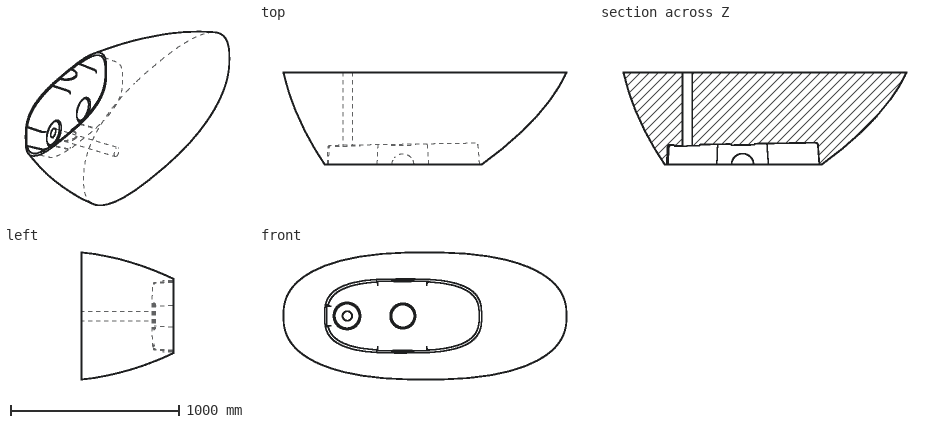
import cadquery as cq
import math


HEIGHT = 550.0
RIM_LENGTH = 1685.0
RIM_WIDTH = 758.0
RIM_ROUNDNESS = 2.4
BASE_LENGTH = 933.0
BASE_WIDTH = 441.0
BASE_ROUNDNESS = 2.9
BASE_CENTER_X = -130.0
END_BULGE = 0.5
SIDE_BULGE = 0.65
BODY_SECTIONS = 5
POINTS_PER_HALF = 24

WALL = 15.0
CAVITY_DEPTH = 123.0
FLOOR_TILT = 0.9
OVERRUN = 17.0
DRAFT = 7.0
FLOOR_FILLET = 13.0

SIDE_PANEL_X = -133.0
PANEL_INSET = 13.0
SIDE_PANEL_LENGTH = 307.0
END_PANEL_LENGTH = 131.0
PANEL_REACH = 50.0

RECESS_DIAMETER = 131.0
RECESS_DEPTH = 5.0

BOSS_HEIGHT = 7.0
BOSS_SLOPE_WIDTH = 8.0
CENTER_BOSS_RADIUS = 75.0
DRAIN_BOSS_RADIUS = 81.0
DRAIN_X = -462.0
DRAIN_HOLE_DIAMETER = 55.0


def superellipse(y, center_x, length, width, roundness):
    """Closed wire at height y, made of two half curves that meet at its -X and +X ends."""

    def point(angle):
        c = math.cos(angle)
        s = math.sin(angle)
        reach = (abs(c) ** roundness + abs(s) ** roundness) ** (-1 / roundness)
        return cq.Vector(center_x + reach * c * length / 2, y, reach * s * width / 2)

    def half(start):
        turns = [math.pi * i / POINTS_PER_HALF for i in range(POINTS_PER_HALF + 1)]
        points = [point(start + turn) for turn in turns]
        end_slope = cq.Vector(0, 0, math.cos(start) * width / 2)
        return cq.Edge.makeSpline(points, [end_slope, -end_slope], parameters=turns, scale=False)

    return cq.Wire.assembleEdges([half(0), half(math.pi)])


def blend(rim_value, base_value, t, bulge=0.0):
    """Value a fraction t of the way from rim to base, bowed toward the rim value."""
    return rim_value + (base_value - rim_value) * (t - bulge * t * (1 - t))


def body():
    sections = []
    for i in range(BODY_SECTIONS):
        t = i / (BODY_SECTIONS - 1)
        left = blend(-RIM_LENGTH / 2, BASE_CENTER_X - BASE_LENGTH / 2, t, END_BULGE)
        right = blend(RIM_LENGTH / 2, BASE_CENTER_X + BASE_LENGTH / 2, t, END_BULGE)
        width = blend(RIM_WIDTH, BASE_WIDTH, t, SIDE_BULGE)
        roundness = blend(RIM_ROUNDNESS, BASE_ROUNDNESS, t)
        y = HEIGHT * (1 - t)
        sections.append(superellipse(y, (left + right) / 2, right - left, width, roundness))
    return cq.Workplane(cq.Solid.makeLoft(sections))


def lean(y):
    """How far the hollow's drafted walls have moved inward at height y."""
    return DRAFT * y / CAVITY_DEPTH


def cavity():
    def section(y):
        inset = WALL + lean(y)
        return superellipse(
            y, BASE_CENTER_X, BASE_LENGTH - 2 * inset, BASE_WIDTH - 2 * inset, BASE_ROUNDNESS
        )

    block = cq.Workplane(cq.Solid.makeLoft([section(-OVERRUN), section(CAVITY_DEPTH)], True))
    return block.faces(">Y").edges().fillet(FLOOR_FILLET)


def panel(size_x, size_z, center_x, center_z, outer_edge):
    """Drafted block up to the hollow's floor, with its outer floor edge rounded.

    The sizes hold at Y = 0.
    """
    growth = -2 * lean(-OVERRUN)
    block = (
        cq.Workplane("XZ", origin=(center_x, -OVERRUN, center_z))
        .rect(size_x + growth, size_z + growth)
        .extrude(-(CAVITY_DEPTH + OVERRUN), taper=math.degrees(math.atan(DRAFT / CAVITY_DEPTH)))
    )
    return block.faces(">Y").edges(outer_edge).fillet(FLOOR_FILLET)


def panels():
    face_z = BASE_WIDTH / 2 - PANEL_INSET
    face_x = BASE_CENTER_X - BASE_LENGTH / 2 + PANEL_INSET
    mid_z = face_z - PANEL_REACH / 2
    upper = panel(SIDE_PANEL_LENGTH, PANEL_REACH, SIDE_PANEL_X, mid_z, ">Z")
    lower = panel(SIDE_PANEL_LENGTH, PANEL_REACH, SIDE_PANEL_X, -mid_z, "<Z")
    end = panel(PANEL_REACH, END_PANEL_LENGTH, face_x + PANEL_REACH / 2, 0, "<X")
    return upper.union(lower).union(end)


def recesses():
    """One cylinder across the hollow that sinks a disc into both side panels."""
    length = BASE_WIDTH - 2 * PANEL_INSET + 2 * RECESS_DEPTH
    return (
        cq.Workplane("XY", origin=(SIDE_PANEL_X, 0, -length / 2))
        .circle(RECESS_DIAMETER / 2)
        .extrude(length)
    )


def boss(center_x, radius):
    """Low cone standing on the hollow's floor and narrowing toward the base."""
    return cq.Workplane(
        cq.Solid.makeCone(
            radius,
            radius - BOSS_SLOPE_WIDTH,
            BOSS_HEIGHT,
            cq.Vector(center_x, CAVITY_DEPTH, 0),
            cq.Vector(0, -1, 0),
        )
    )


def hollow():
    level = (
        cavity()
        .union(panels())
        .cut(boss(BASE_CENTER_X, CENTER_BOSS_RADIUS))
        .cut(boss(DRAIN_X, DRAIN_BOSS_RADIUS))
    )
    return level.rotate((BASE_CENTER_X, 0, 0), (BASE_CENTER_X, 0, 1), FLOOR_TILT)


def drain_hole():
    return (
        cq.Workplane("XZ", origin=(DRAIN_X, 0, 0))
        .circle(DRAIN_HOLE_DIAMETER / 2)
        .extrude(-HEIGHT)
    )


result = body().cut(hollow()).cut(recesses()).cut(drain_hole())